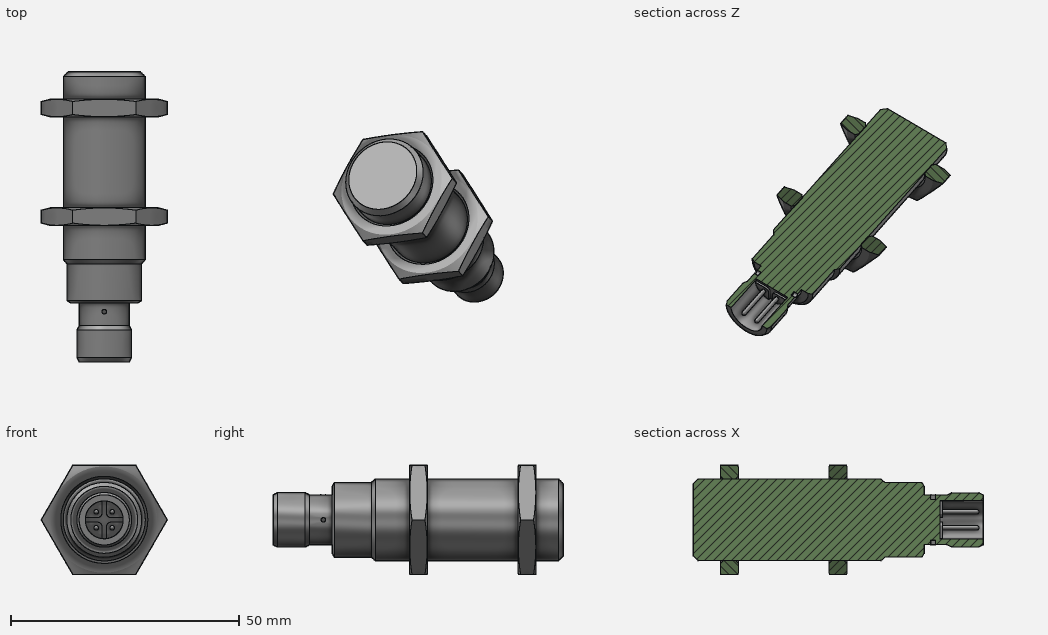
import cadquery as cq
import math

total_length = 63.64

barrel_radius = 9.0
barrel_edge_chamfer = 1.1
barrel_length = 42.1
barrel_shoulder_length = 0.9

sleeve_radius = 8.2
sleeve_end = 50.7
sleeve_chamfer_length = 0.5
sleeve_chamfer_height = sleeve_chamfer_length * math.tan(math.radians(60))

neck_radius = 5.5
plug_radius = 6.0
plug_start = 55.65
plug_start_chamfer_length = 1.0
plug_end_chamfer_length = 1.0
plug_end_radius = 5.5

neck_hole_diameter = 1.0
neck_hole_depth = 1.0
neck_hole_position = 52.6
neck_hole_count = 4

socket_radius = 4.15
socket_depth = 9.0
groove_width = 1.0
groove_depth = 0.5
groove_corner_radius = 1.0
pin_diameter = 1.0
pin_offset = 1.75
pin_tip_recess = 1.0

nut_across_corners = 27.66
nut_thickness = 4.0
nut_positions = (5.97, 29.77)
nut_face_radius = 11.65
nut_corner_angle = 15.0
nut_bore_chamfer = 0.55

socket_floor = total_length - socket_depth


def revolve_about_y(profile):
    """Revolve an outline of (radius, distance from sensing face) points about the Y axis."""
    points = [(radius, -distance) for radius, distance in profile]
    return cq.Workplane("XY").polyline(points).close().revolve(360, (0, 0, 0), (0, 1, 0))


def plane_at(distance):
    """Workplane across the axis whose normal points toward -Y, the plug end."""
    return cq.Workplane("XZ", origin=(0, -distance, 0))


def make_turned_shape():
    """Barrel, sleeve, neck and plug with its socket."""
    return revolve_about_y([
        (0, 0),
        (barrel_radius - barrel_edge_chamfer, 0),
        (barrel_radius, barrel_edge_chamfer),
        (barrel_radius, barrel_length - barrel_shoulder_length),
        (sleeve_radius, barrel_length),
        (sleeve_radius, sleeve_end - sleeve_chamfer_length),
        (sleeve_radius - sleeve_chamfer_height, sleeve_end),
        (neck_radius, sleeve_end),
        (neck_radius, plug_start),
        (plug_radius, plug_start + plug_start_chamfer_length),
        (plug_radius, total_length - plug_end_chamfer_length),
        (plug_end_radius, total_length),
        (socket_radius, total_length),
        (socket_radius, socket_floor),
        (0, socket_floor),
    ])


def make_cross_groove():
    """Cross-shaped recess in the socket floor, rounded where the arms meet."""
    groove_top = plane_at(socket_floor)
    arm_length = 2 * socket_radius
    arm_x = groove_top.rect(arm_length, groove_width).extrude(-groove_depth)
    arm_z = groove_top.rect(groove_width, arm_length).extrude(-groove_depth)
    corner_box = cq.selectors.BoxSelector(
        (-groove_width, -socket_floor - groove_depth, -groove_width),
        (groove_width, -socket_floor + 2 * groove_depth, groove_width),
    )
    cross = arm_x.union(arm_z).edges("|Y").edges(corner_box).fillet(groove_corner_radius)
    socket_cylinder = groove_top.circle(socket_radius).extrude(-groove_depth)
    return cross.intersect(socket_cylinder)


def make_pins():
    """Four contact pins with hemispherical tips, standing on the socket floor."""
    pin_radius = pin_diameter / 2
    shank_length = socket_depth - pin_tip_recess - pin_radius
    pin_square = 2 * pin_offset
    shanks = (
        plane_at(socket_floor)
        .rect(pin_square, pin_square, forConstruction=True)
        .vertices()
        .circle(pin_radius)
        .extrude(shank_length)
    )
    tips = (
        plane_at(socket_floor + shank_length)
        .rect(pin_square, pin_square, forConstruction=True)
        .vertices()
        .sphere(pin_radius)
    )
    return shanks.union(tips)


def make_neck_holes():
    drill = (
        cq.Workplane("XY", origin=(0, -neck_hole_position, neck_radius - neck_hole_depth))
        .circle(neck_hole_diameter / 2)
        .extrude(2 * neck_hole_depth)
    )
    holes = cq.Workplane("XY")
    for index in range(neck_hole_count):
        holes = holes.add(drill.rotate((0, 0, 0), (0, 1, 0), index * 360 / neck_hole_count))
    return holes.combine()


def make_sensor():
    sensor = make_turned_shape().cut(make_cross_groove()).cut(make_neck_holes())
    return sensor.union(make_pins())


def make_nut(position):
    """Hexagon nut with cone-chamfered corners and a bore that fits the barrel."""
    end = position + nut_thickness
    corner_radius = nut_across_corners / 2
    corner_drop = (corner_radius - nut_face_radius) * math.tan(math.radians(nut_corner_angle))
    hexagon = plane_at(position).polygon(6, nut_across_corners).extrude(nut_thickness)
    envelope = revolve_about_y([
        (barrel_radius + nut_bore_chamfer, position),
        (nut_face_radius, position),
        (corner_radius, position + corner_drop),
        (corner_radius, end - corner_drop),
        (nut_face_radius, end),
        (barrel_radius + nut_bore_chamfer, end),
        (barrel_radius, end - nut_bore_chamfer),
        (barrel_radius, position + nut_bore_chamfer),
    ])
    return hexagon.intersect(envelope)


sensor = make_sensor()
nuts = [make_nut(position) for position in nut_positions]

result = cq.Compound.makeCompound([sensor.val(), *[nut.val() for nut in nuts]])